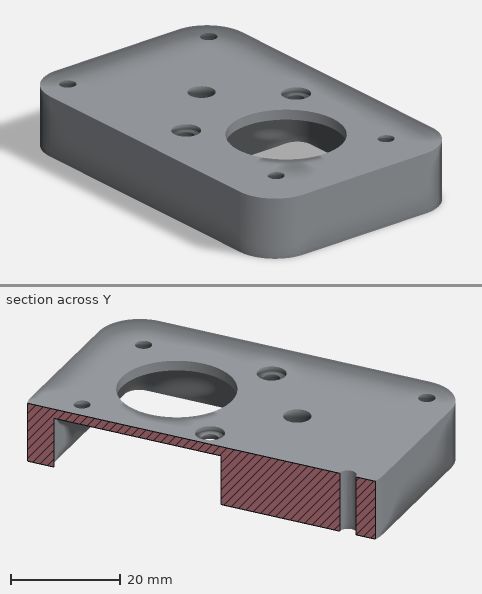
import cadquery as cq

length = 71.4
width = 45.3
height = 12.05
corner_radius = 8.2

wall = 5.0
plate_thickness = 2.0
pocket_side = width - 2 * wall
pocket_corner_radius = 3.0
motor_x = length / 2 - width / 2

hub_diameter = 22.2
screw_pitch = 26.0
screw_diameter = 3.15
counterbore_diameter = 5.5
counterbore_depth = 1.0

mount_diameter = 3.2
mount_edge_distance = 6.0
shaft_diameter = 5.2
shaft_x = -11.4


def through_holes(body, points, diameter):
    """Drill vertical holes through the full height at the given XY points."""
    drills = cq.Workplane("XY").pushPoints(points).circle(diameter / 2).extrude(height)
    return body.cut(drills)


def rounded_block(side_x, side_y, block_height, radius):
    """Upright block standing on Z = 0 with rounded vertical edges."""
    block = cq.Workplane("XY").box(side_x, side_y, block_height, centered=(True, True, False))
    return block.edges("|Z").fillet(radius)


body = rounded_block(length, width, height, corner_radius)
pocket = rounded_block(pocket_side, pocket_side, height - plate_thickness, pocket_corner_radius)
body = body.cut(pocket.translate((motor_x, 0, 0)))

inner_screws = [(motor_x - screw_pitch / 2, side * screw_pitch / 2) for side in (-1, 1)]
outer_screws = [(motor_x + screw_pitch / 2, side * screw_pitch / 2) for side in (-1, 1)]
body = through_holes(body, [(motor_x, 0)], hub_diameter)
body = through_holes(body, inner_screws + outer_screws, screw_diameter)

counterbores = (
    cq.Workplane("XY", origin=(0, 0, height))
    .pushPoints(inner_screws)
    .circle(counterbore_diameter / 2)
    .extrude(-counterbore_depth)
)
body = body.cut(counterbores)

mount_x = mount_edge_distance - length / 2
mount_y = width / 2 - mount_edge_distance
body = through_holes(body, [(mount_x, -mount_y), (mount_x, mount_y)], mount_diameter)
body = through_holes(body, [(shaft_x, 0)], shaft_diameter)

result = body